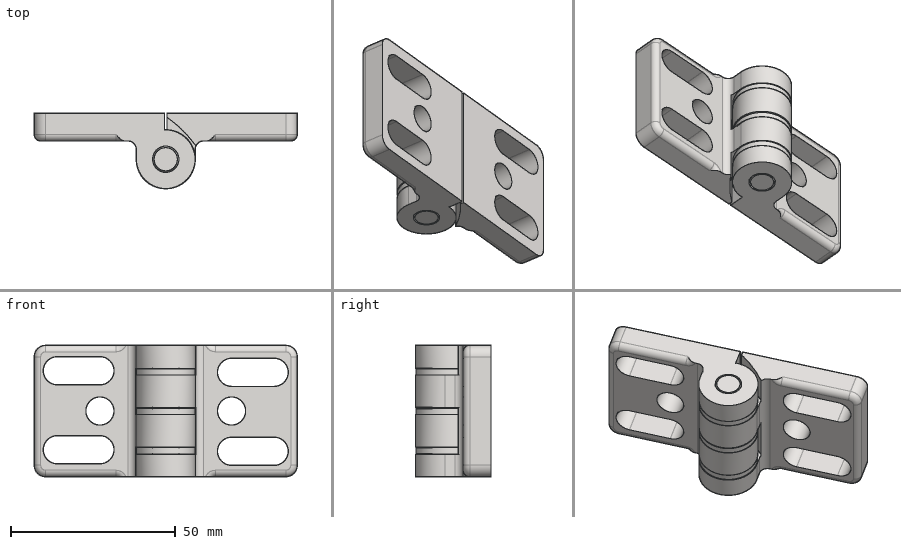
import cadquery as cq
import math

height = 40.0
half_width = 40.0
mid_z = height / 2

back_y = 14.0
plate_thickness = 8.5
front_y = back_y - plate_thickness
leaf_gap = 0.7
inner_x = -leaf_gap / 2
corner_radius = 3.5
rim_radius = 2.0

runout_x = -14.3
runout_angle = math.radians(65)
runout_bend_radius = 1.2
runout_rise = 2 * rim_radius

barrel_diameter = 18.0
barrel_radius = barrel_diameter / 2
web_radius = 2.5
pin_radius = 4.0
pin_taper_depth = 0.5
pin_taper_length = 1.3
washer_radius = 8.9
washer_thickness = 1.8

upper_end_knuckle = 7.0
lower_end_knuckle = 6.8
inner_knuckle_start = 9.0
inner_knuckle_length = 9.8
inner_knuckle_end = inner_knuckle_start + inner_knuckle_length

clearance_back = (inner_x, 12.8)
clearance_middle = (-5.0, 8.9)
clearance_front = (-9.2, 4.1)

hole_diameter = 8.5
hole_x = -20.0
slot_travel = 13.0
slot_spacing = 24.0
slot_shift = 0.2


def prism_z(outline, z_start, z_end):
    """Extrude a closed XY outline between two heights."""
    return outline.extrude(z_end - z_start).translate((0, 0, z_start))


def edges_near_x(x):
    """Selector for the plate edges centred close to one X position."""
    margin = 0.8
    return cq.selectors.BoxSelector(
        (x - margin, front_y - margin, -margin),
        (x + margin, back_y + margin, height + margin),
    )


def plate():
    """Left plate with a rounded front rim that runs out beside the barrel."""
    flare_x = runout_x + runout_rise / math.tan(runout_angle)
    half_height = height / 2
    flare_half_height = half_height + runout_rise
    blank = (
        cq.Workplane("XZ", origin=(0, back_y, mid_z))
        .moveTo(0, flare_half_height)
        .lineTo(flare_x, flare_half_height)
        .lineTo(runout_x, half_height)
        .lineTo(-half_width, half_height)
        .lineTo(-half_width, -half_height)
        .lineTo(runout_x, -half_height)
        .lineTo(flare_x, -flare_half_height)
        .lineTo(0, -flare_half_height)
        .close()
        .extrude(plate_thickness)
    )
    blank = blank.edges("|Y").edges(edges_near_x(-half_width)).fillet(corner_radius)
    blank = blank.edges("|Y").edges(edges_near_x(runout_x)).fillet(runout_bend_radius)
    blank = blank.faces("<Y").edges("<X").fillet(rim_radius)
    envelope = cq.Workplane("XY").box(
        half_width + inner_x, plate_thickness, height, centered=False
    ).translate((-half_width, front_y, 0))
    return blank.intersect(envelope)


def barrel_and_web():
    """Full-height barrel with the web that blends it into the plate front."""
    barrel = cq.Workplane("XY").circle(barrel_radius).extrude(height)
    web_x = -barrel_radius - web_radius
    web = (
        cq.Workplane("XY")
        .moveTo(inner_x, 0)
        .lineTo(-barrel_radius, 0)
        .lineTo(-barrel_radius, front_y - web_radius)
        .radiusArc((web_x, front_y), -web_radius)
        .lineTo(web_x, front_y + web_radius)
        .lineTo(inner_x, front_y + web_radius)
        .close()
        .extrude(height)
    )
    return barrel.union(web)


def clearance(z_start, z_end):
    """Space for the other leaf's knuckle and the washers beside it."""
    reach = 2 * barrel_radius
    outline = (
        cq.Workplane("XY")
        .moveTo(*clearance_back)
        .threePointArc(clearance_middle, clearance_front)
        .lineTo(clearance_front[0], -reach)
        .lineTo(reach, -reach)
        .lineTo(reach, clearance_back[1])
        .close()
    )
    return prism_z(outline, z_start, z_end)


def mounting_holes():
    """One round hole between two slots, all through the plate."""
    workplane = cq.Workplane("XZ", origin=(0, back_y, mid_z))
    round_hole = workplane.center(hole_x, 0).circle(hole_diameter / 2).extrude(plate_thickness)
    slots = (
        workplane.center(hole_x - slot_travel / 2, slot_shift)
        .pushPoints([(0, -slot_spacing / 2), (0, slot_spacing / 2)])
        .slot2D(slot_travel + hole_diameter, hole_diameter)
        .extrude(plate_thickness)
    )
    return round_hole.union(slots)


def leaf(end_knuckle):
    """Left leaf with its end knuckle at the top."""
    pin_hole = cq.Workplane("XY").circle(pin_radius).extrude(height)
    return (
        plate()
        .union(barrel_and_web())
        .cut(clearance(0, inner_knuckle_start))
        .cut(clearance(inner_knuckle_end, height - end_knuckle))
        .cut(pin_hole)
        .cut(mounting_holes())
    )


def washer(z_start):
    outline = cq.Workplane("XY").circle(washer_radius).circle(pin_radius)
    return prism_z(outline, z_start, z_start + washer_thickness)


def tapered_pin():
    """Full-height pin with a steep lead-in taper at both ends."""
    tip_radius = pin_radius - pin_taper_depth
    return (
        cq.Workplane("XZ")
        .lineTo(tip_radius, 0)
        .lineTo(pin_radius, pin_taper_length)
        .lineTo(pin_radius, height - pin_taper_length)
        .lineTo(tip_radius, height)
        .lineTo(0, height)
        .close()
        .revolve(360, (0, 0, 0), (0, 1, 0))
    )


left_leaf = leaf(upper_end_knuckle)

right_leaf = leaf(lower_end_knuckle).rotate((0, 0, mid_z), (0, 1, mid_z), 180)

pin = tapered_pin()

washer_starts = [
    (lower_end_knuckle + inner_knuckle_start - washer_thickness) / 2,
    inner_knuckle_end,
    height - inner_knuckle_start,
]
washers = [washer(z_start) for z_start in washer_starts]

result = cq.Compound.makeCompound(
    [left_leaf.val(), right_leaf.val(), pin.val(), *[ring.val() for ring in washers]]
)